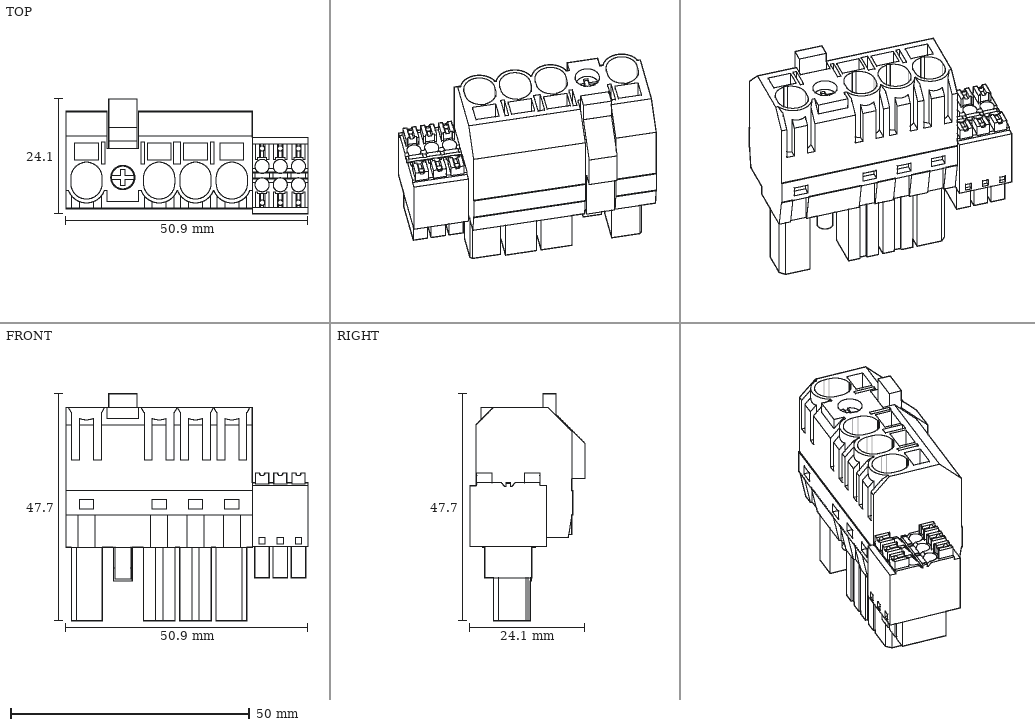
import cadquery as cq

total_width = 50.85
power_width = 39.15
pitch = 7.65
first_pole_x = 4.3
pole_xs = [first_pole_x + i * pitch for i in (0, 2, 3, 4)]
latch_x = first_pole_x + pitch
top_z = 44.8
bottom_z = 15.45
step_z = 17.5
step_y = 12.7
belt_top_z = 27.35
belt_bottom_z = 22.25
belt_back_y = 20.6
belt_ledge = 0.2
front_y = belt_ledge
back_y = belt_back_y - belt_ledge
front_chamfer = 3.65
back_chamfer = 5.05
front_foot_y = 1.65
back_foot_y = 19.6
cut_margin = 0.5

wire_width = 6.55
wire_length = 7.75
wire_y = 5.95
wire_depth = 15.25
keyway_width = 0.8
keyway_depth = 0.1
tube_radius = 4.0
tube_y = 5.3
tower_width = 2.95
tower_slot_outer_width = 6.25
tower_slot_floor_z = 33.8

test_width = 5.0
test_length = 3.6
test_y = 12.05
test_depth = 10.15
vent_length = 4.6
vent_y = 11.75
vent_depth = 5.1
narrow_vent = 0.75
wide_vent = 1.4
vents = [(7.85, narrow_vent), (16.1, narrow_vent), (23.35, wide_vent), (30.7, narrow_vent)]

window_width = 3.0
window_bottom_z = 23.45
window_height = 2.05
window_depth = 1.5
skirt_recess_width = 3.55
skirt_recess_y = 2.05

plug_front_y = 3.9
plug_back_y = 11.65
end_plug_width = 6.5
mid_plug_width = 6.65
end_plug_inset = 0.45
end_plug_shift = 0.1
plug_chamfer = 1.05
plug_back_chamfer = 0.45
plug_groove_width = 1.5
plug_groove_depth = 0.45

latch_slot_width = 6.55
pad_front_y = 1.5
screw_y = 6.6
head_radius = 2.4
head_clearance = 0.15
head_top_z = 42.65
head_height = 1.5
shank_radius = 1.7
shank_end_z = 8.85
cross_width = 0.9
cross_short_length = 3.3
cross_depth = 0.5
hook_width = 3.95
hook_back_y = 11.9
hook_root_y = 10.4
hook_tip_y = 9.9
hook_end_y = 10.95
hook_tip_z = 11.15
hook_end_z = 8.35

lever_width = 6.0
lever_bottom_z = 18.1
lever_shelf_z = 38.15
lever_post_front_y = 14.3
lever_post_back_y = 17.1
lever_top_z = 47.7
lever_grip_y = 23.15
lever_grip_bottom_z = 29.85
lever_grip_top_z = 37.25
lever_slope_top_z = lever_grip_top_z + lever_grip_y - lever_post_back_y

signal_width = total_width - power_width
signal_pitch = 3.8
signal_x = power_width + signal_width / 2
signal_xs = [signal_x + i * signal_pitch for i in (-1, 0, 1)]
signal_front_y = -1.0
signal_back_y = 15.05
signal_mid_y = (signal_front_y + signal_back_y) / 2
signal_bottom_z = 15.6
lip_z = 28.35
lip_depth = 1.35
plateau_z = 29.05
signal_hole_radius = 1.45
signal_hole_offset = 3.8
signal_hole_depth = 6.1
valley_top_width = 2.9
valley_floor_width = 1.45
valley_floor_z = 28.2
rib_width = 1.0
rib_z = 28.9
raised_rib_z = plateau_z
raised_rib_width = 3.05
signal_plug_width = 3.1
signal_plug_front_y = 2.05
signal_plug_back_y = 12.0
signal_plug_end_z = 9.05
signal_window_width = 1.25
signal_window_bottom_z = 16.1
signal_window_height = 1.4
signal_window_depth = 0.75

button_width = 2.8
button_length = 3.25
button_bottom_z = 28.7
button_top_z = 31.05
button_groove_top_width = 1.1
button_groove_floor_width = 0.65
button_groove_depth = 0.5
button_hole_radius = 0.55
button_hole_from_front = 0.95
button_hole_depth = 1.0
button_notch_width = 1.95
button_notch_depth = 0.35


def block(x0, x1, y0, y1, z0, z1):
    """Box between two opposite corners."""
    return cq.Workplane("XY").box(x1 - x0, y1 - y0, z1 - z0, centered=False).translate((x0, y0, z0))


def centred_block(x, width, y0, y1, z0, z1):
    """Box whose X extent is centred on x."""
    return block(x - width / 2, x + width / 2, y0, y1, z0, z1)


def side_profile(points, x0, x1):
    """Extrude a (Y, Z) outline along X from x0 to x1."""
    return cq.Workplane("YZ").polyline(points).close().extrude(x1 - x0).translate((x0, 0, 0))


def cylinder(x, y, radius, z0, z1):
    return cq.Workplane("XY").circle(radius).extrude(z1 - z0).translate((x, y, z0))


def power_shell():
    outline = [
        (front_foot_y, bottom_z),
        (step_y, bottom_z),
        (step_y, step_z),
        (back_foot_y, step_z),
        (back_y, belt_bottom_z),
        (belt_back_y, belt_bottom_z),
        (belt_back_y, belt_top_z),
        (back_y, belt_top_z),
        (back_y, top_z - back_chamfer),
        (back_y - back_chamfer, top_z),
        (front_y + front_chamfer, top_z),
        (front_y, top_z - front_chamfer),
        (front_y, belt_top_z),
        (0, belt_top_z),
        (0, belt_bottom_z),
        (front_y, belt_bottom_z),
    ]
    return side_profile(outline, 0, power_width)


def add_wire_entry(body, x):
    """Round tube behind a slotted tower, with a long-round wire hole keyed at its back."""
    tube = cylinder(x, tube_y, tube_radius, tower_slot_floor_z, top_z)
    slots = centred_block(x, tower_slot_outer_width, -cut_margin, tube_y, tower_slot_floor_z, top_z)
    slots = slots.cut(centred_block(x, tower_width, -cut_margin, tube_y, tower_slot_floor_z, top_z))
    hole = cq.Workplane("XY").slot2D(wire_length, wire_width, 90).extrude(wire_depth)
    hole = hole.translate((x, wire_y, top_z - wire_depth))
    keyway_y = wire_y + wire_length / 2 + keyway_depth
    keyway = centred_block(x, keyway_width, wire_y, keyway_y, top_z - wire_depth, top_z)
    return body.cut(slots).union(tube).cut(hole).cut(keyway)


def cut_top_pockets(body):
    for x in pole_xs:
        y0 = test_y - test_length / 2
        body = body.cut(centred_block(x, test_width, y0, y0 + test_length, top_z - test_depth, top_z))
    for x, width in vents:
        y0 = vent_y - vent_length / 2
        body = body.cut(centred_block(x, width, y0, y0 + vent_length, top_z - vent_depth, top_z))
    return body


def cut_front_windows(body):
    for x in pole_xs:
        window_top_z = window_bottom_z + window_height
        body = body.cut(centred_block(x, window_width, 0, window_depth, window_bottom_z, window_top_z))
        body = body.cut(centred_block(x, skirt_recess_width, 0, skirt_recess_y, bottom_z, belt_bottom_z))
    return body


def end_plug(x, outer_side):
    """Plug pole with its outer corners cut off; outer_side is -1 for left, +1 for right."""
    centre = x - outer_side * end_plug_shift
    outer = centre + outer_side * end_plug_width / 2
    inner = centre - outer_side * end_plug_width / 2
    back = plug_back_y - end_plug_inset
    outline = [
        (inner, plug_front_y),
        (outer - outer_side * plug_chamfer, plug_front_y),
        (outer, plug_front_y + plug_chamfer),
        (outer, back - plug_back_chamfer),
        (outer - outer_side * plug_back_chamfer, back),
        (inner, back),
    ]
    return cq.Workplane("XY").polyline(outline).close().extrude(bottom_z)


def mid_plug(x):
    """Plug pole with a shallow groove down its front."""
    pole = centred_block(x, mid_plug_width, plug_front_y, plug_back_y, 0, bottom_z)
    groove_back_y = plug_front_y + plug_groove_depth
    return pole.cut(centred_block(x, plug_groove_width, plug_front_y, groove_back_y, 0, bottom_z))


def hook():
    outline = [
        (hook_root_y, bottom_z),
        (hook_tip_y, hook_tip_z),
        (hook_end_y, hook_end_z),
        (hook_back_y, hook_end_z),
        (hook_back_y, bottom_z),
    ]
    return side_profile(outline, latch_x - hook_width / 2, latch_x + hook_width / 2)


def screw_seat():
    seat = cylinder(latch_x, screw_y, head_radius + head_clearance, head_top_z - head_height, top_z)
    return seat.union(cylinder(latch_x, screw_y, shank_radius, bottom_z, top_z))


def make_power_side():
    body = power_shell()
    for x in pole_xs:
        body = add_wire_entry(body, x)
    pad_floor_z = top_z - front_chamfer
    pad = centred_block(latch_x, latch_slot_width, pad_front_y, step_y, pad_floor_z, top_z)
    body = body.union(pad)
    body = cut_top_pockets(body)
    body = cut_front_windows(body)
    latch_slot = centred_block(latch_x, latch_slot_width, step_y, belt_back_y, bottom_z, top_z)
    body = body.cut(latch_slot).cut(screw_seat())
    body = body.union(end_plug(pole_xs[0], -1)).union(end_plug(pole_xs[-1], 1))
    for x in pole_xs[1:-1]:
        body = body.union(mid_plug(x))
    return body.union(hook())


def signal_shell():
    shell = block(power_width, total_width, signal_front_y, signal_back_y, signal_bottom_z, lip_z)
    plateau = block(
        power_width, total_width, signal_front_y + lip_depth, signal_back_y - lip_depth, lip_z, plateau_z
    )
    return shell.union(plateau)


def cut_signal_holes(body):
    hole_floor_z = plateau_z - signal_hole_depth
    for x in signal_xs:
        for row in (-0.5, 0.5):
            hole_y = signal_mid_y + row * signal_hole_offset
            body = body.cut(cylinder(x, hole_y, signal_hole_radius, hole_floor_z, plateau_z))
    return body


def form_valley(body):
    """Sloped valley between the two rows, with a rib along its floor."""
    outline = [
        (signal_mid_y - valley_top_width / 2, plateau_z),
        (signal_mid_y - valley_floor_width / 2, valley_floor_z),
        (signal_mid_y + valley_floor_width / 2, valley_floor_z),
        (signal_mid_y + valley_top_width / 2, plateau_z),
    ]
    body = body.cut(side_profile(outline, power_width, total_width))
    rib_front_y = signal_mid_y - rib_width / 2
    rib_back_y = signal_mid_y + rib_width / 2
    rib = block(power_width, total_width, rib_front_y, rib_back_y, valley_floor_z, rib_z)
    for x in signal_xs:
        rib = rib.union(
            centred_block(x, raised_rib_width, rib_front_y, rib_back_y, valley_floor_z, raised_rib_z)
        )
    return body.union(rib)


def make_signal_side():
    body = form_valley(cut_signal_holes(signal_shell()))
    for x in signal_xs:
        window_back_y = signal_front_y + signal_window_depth
        window_top_z = signal_window_bottom_z + signal_window_height
        body = body.cut(
            centred_block(
                x, signal_window_width, signal_front_y, window_back_y, signal_window_bottom_z, window_top_z
            )
        )
        body = body.union(
            centred_block(
                x, signal_plug_width, signal_plug_front_y, signal_plug_back_y,
                signal_plug_end_z, signal_bottom_z,
            )
        )
    return body


def make_button(x, row):
    """Release button of the front (row -1) or the mirrored back row (row +1)."""
    front = signal_front_y + lip_depth
    back = front + button_length
    button = centred_block(x, button_width, front, back, button_bottom_z, button_top_z)
    groove_z = button_top_z - button_groove_depth
    groove_outline = [
        (x - button_groove_top_width / 2, button_top_z),
        (x - button_groove_floor_width / 2, groove_z),
        (x + button_groove_floor_width / 2, groove_z),
        (x + button_groove_top_width / 2, button_top_z),
    ]
    groove = cq.Workplane("XZ").polyline(groove_outline).close().extrude(-button_length)
    button = button.cut(groove.translate((0, front, 0)))
    hole_y = front + button_hole_from_front
    button = button.cut(cylinder(x, hole_y, button_hole_radius, groove_z - button_hole_depth, button_top_z))
    notch_y = back - button_notch_depth
    button = button.cut(centred_block(x, button_notch_width, notch_y, back, button_bottom_z, button_top_z))
    if row > 0:
        button = button.mirror("XZ", (0, signal_mid_y, 0))
    return button


def make_screw():
    head_bottom_z = head_top_z - head_height
    screw = cylinder(latch_x, screw_y, head_radius, head_bottom_z, head_top_z)
    screw = screw.union(cylinder(latch_x, screw_y, shank_radius, shank_end_z, head_bottom_z))
    for length_x, length_y in ((2 * head_radius, cross_width), (cross_width, cross_short_length)):
        y0 = screw_y - length_y / 2
        screw = screw.cut(
            centred_block(latch_x, length_x, y0, y0 + length_y, head_top_z - cross_depth, head_top_z)
        )
    return screw


def make_lever():
    outline = [
        (step_y, lever_bottom_z),
        (back_y, lever_bottom_z),
        (back_y, lever_grip_bottom_z),
        (lever_grip_y, lever_grip_bottom_z),
        (lever_grip_y, lever_grip_top_z),
        (lever_post_back_y, lever_slope_top_z),
        (lever_post_back_y, lever_top_z),
        (lever_post_front_y, lever_top_z),
        (lever_post_front_y, lever_shelf_z),
        (step_y, lever_shelf_z),
    ]
    return side_profile(outline, latch_x - lever_width / 2, latch_x + lever_width / 2)


buttons = [make_button(x, row) for x in signal_xs for row in (-1, 1)]
housing = make_power_side().union(make_signal_side())
for button in buttons:
    housing = housing.cut(button)
screw = make_screw()
lever = make_lever()

result = cq.Compound.makeCompound(
    [housing.val(), screw.val(), lever.val(), *[button.val() for button in buttons]]
)